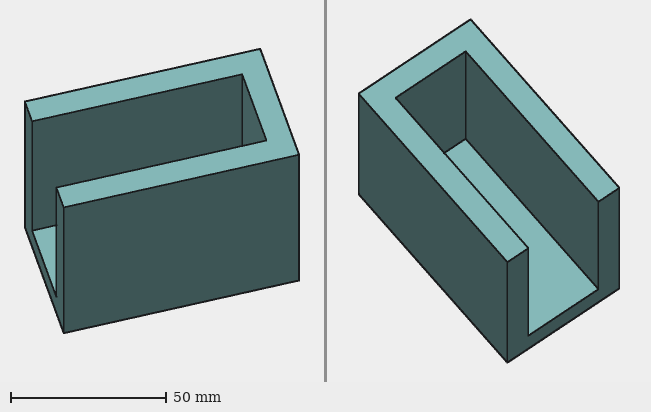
import cadquery as cq

width = 45.5
length = 79.0
height = 65.0

wall = 8.5

pocket_width = width - 2 * wall
pocket_length = length - wall
pocket_depth = height - wall

block = cq.Workplane("XY").box(width, length, height, centered=(True, False, False))
pocket = (
    cq.Workplane("XY")
    .workplane(offset=wall)
    .box(pocket_width, pocket_length, pocket_depth, centered=(True, False, False))
)

result = block.cut(pocket)